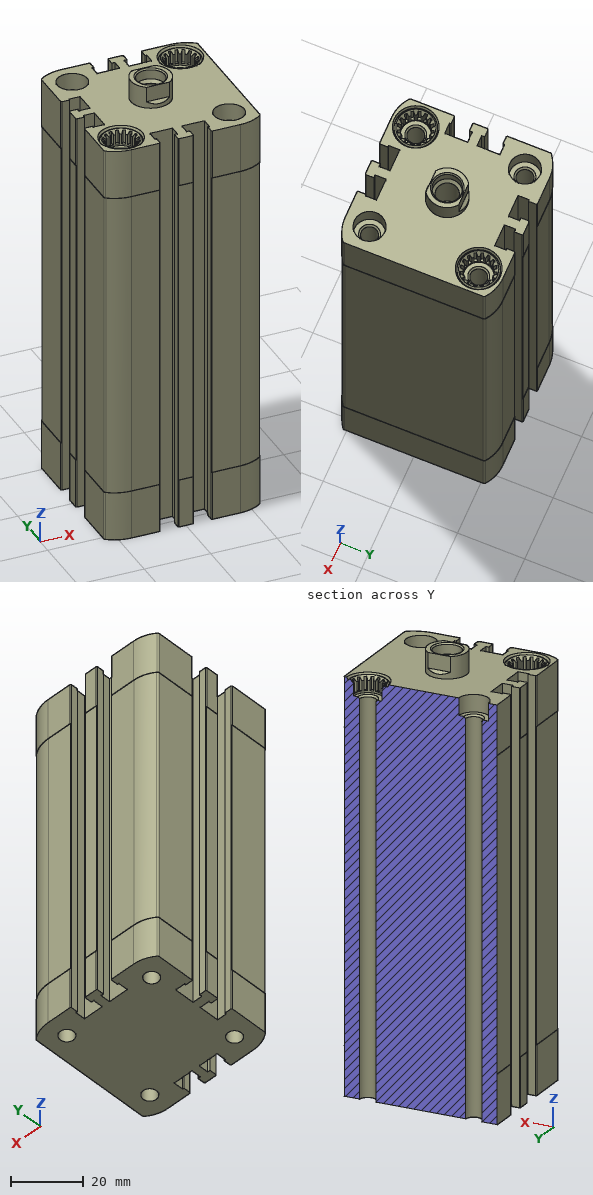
import cadquery as cq
import math

total_height = 130.6
body_height = 124.0
cap_width = 47.0
tube_width = 46.8
cap_height = 15.0

face_half_width = 16.4
corner_arc_radius = 11.4
corner_round_radius = 0.8

slot_depth = 5.9
slot_lip_depth = 2.6
rail_head_half_width = 2.3
rail_stem_half_width = 1.4
slot_mouth_outer = 7.7
slot_inner_outer = 8.2
lip_chamfer = 0.25
slot_face_angles = (0, 90, 180)

hole_offset = 16.25
through_diameter = 4.92
lead_in_diameter = 6.0
plain_bore_diameter = 9.0
corner_bore_depth = 5.2

rim_diameter = 12.8
rim_groove_outer_diameter = 12.0
rim_groove_inner_diameter = 11.9
crest_diameter = 11.0
crest_depth = 0.3
spline_root_diameter = 10.2
spline_tip_diameter = 8.5
spline_end_gap = 0.6
spline_count = 16
spline_flat_share = 0.35

rod_diameter = 12.0
rod_depth_in_body = 15.0
flat_width = 9.8
flat_height = 4.6
flat_shoulder_angle = 35.0
rod_mouth_diameter = 9.2
rod_counterbore_diameter = 8.4
rod_counterbore_depth = 3.3
rod_core_diameter = 6.65
rod_core_depth = 16.0
drill_tip_angle = 118.0


def drilling(profile, center, top):
    """Solid of revolution about a vertical axis from (radius, depth) points, deepest last."""
    first_depth = profile[0][1]
    last_depth = profile[-1][1]
    points = [(0, -first_depth)]
    points += [(radius, -depth) for radius, depth in profile]
    if profile[-1][0] > 0:
        points.append((0, -last_depth))
    turned = cq.Workplane("XZ").polyline(points).close().revolve(360, (0, 0, 0), (0, 1, 0))
    return turned.translate((center[0], center[1], top))


def outline_prism(width, bottom, height):
    """Square section whose corners are arcs tangent to the Y faces."""
    half = width / 2
    arc_center_y = half - corner_arc_radius

    def arc_y(x):
        return arc_center_y + math.sqrt(corner_arc_radius**2 - (x - face_half_width) ** 2)

    mid_x = (face_half_width + half) / 2
    end_y = arc_y(half)
    mid_y = arc_y(mid_x)
    prism = (
        cq.Workplane("XY", origin=(0, 0, bottom))
        .moveTo(-face_half_width, half)
        .lineTo(face_half_width, half)
        .threePointArc((mid_x, mid_y), (half, end_y))
        .lineTo(half, -end_y)
        .threePointArc((mid_x, -mid_y), (face_half_width, -half))
        .lineTo(-face_half_width, -half)
        .threePointArc((-mid_x, -mid_y), (-half, -end_y))
        .lineTo(-half, end_y)
        .threePointArc((-mid_x, mid_y), (-face_half_width, half))
        .close()
        .extrude(height)
    )
    corner_edges = prism.edges("|Z and (<X or >X)")
    return corner_edges.fillet(corner_round_radius)


def slot_pair():
    """Cutter for the two slots of the +Y face, chamfered at the mouth."""
    face = cap_width / 2
    lip = face - slot_lip_depth
    floor = face - slot_depth
    slot = (
        cq.Workplane("XY")
        .polyline([
            (rail_head_half_width, lip),
            (rail_stem_half_width, lip),
            (rail_stem_half_width, floor),
            (slot_inner_outer, floor),
            (slot_inner_outer, lip),
            (slot_mouth_outer, lip),
            (slot_mouth_outer, face - lip_chamfer),
            (slot_mouth_outer + lip_chamfer, face),
            (rail_head_half_width - lip_chamfer, face),
            (rail_head_half_width, face - lip_chamfer),
        ])
        .close()
        .extrude(body_height)
    )
    return slot.union(slot.mirror("YZ"))


lead_in_depth = (lead_in_diameter - through_diameter) / 2


def corner_passage(center):
    """Through hole with a conical lead-in at the floor of the corner bore."""
    profile = [
        (lead_in_diameter / 2, corner_bore_depth),
        (through_diameter / 2, corner_bore_depth + lead_in_depth),
        (through_diameter / 2, body_height),
    ]
    return drilling(profile, center, body_height)


def plain_bore(center):
    profile = [(plain_bore_diameter / 2, 0), (plain_bore_diameter / 2, corner_bore_depth)]
    return drilling(profile, center, body_height)


def splined_socket(center):
    """V-shaped rim groove around a raised crest, conical mouth and a star of spline grooves."""
    tip_radius = spline_tip_diameter / 2
    root_radius = spline_root_diameter / 2
    groove_depth = crest_depth + (rim_groove_inner_diameter - crest_diameter) / 2
    cone_depth = crest_depth + crest_diameter / 2 - tip_radius
    spline_end_depth = corner_bore_depth - spline_end_gap
    profile = [
        (rim_diameter / 2, 0),
        (rim_groove_outer_diameter / 2, groove_depth),
        (rim_groove_inner_diameter / 2, groove_depth),
        (crest_diameter / 2, crest_depth),
        (tip_radius, cone_depth),
        (tip_radius, corner_bore_depth),
    ]
    socket = drilling(profile, center, body_height)
    half_pitch = math.pi / spline_count
    half_flat = half_pitch * spline_flat_share
    star_points = []
    for i in range(2 * spline_count):
        radius = tip_radius if i % 2 == 0 else root_radius
        for angle in (i * half_pitch - half_flat, i * half_pitch + half_flat):
            star_points.append((radius * math.cos(angle), radius * math.sin(angle)))
    star_top = body_height - crest_depth - (crest_diameter / 2 - root_radius)
    star_bottom = body_height - spline_end_depth
    star = cq.Workplane("XY").polyline(star_points).close().extrude(star_top - star_bottom)
    return socket.union(star.translate((center[0], center[1], star_bottom)))


top_cap_bottom = body_height - cap_height
tube_height = body_height - 2 * cap_height
housing = outline_prism(cap_width, 0, cap_height)
housing = housing.union(outline_prism(tube_width, cap_height, tube_height))
housing = housing.union(outline_prism(cap_width, top_cap_bottom, cap_height))

for face_angle in slot_face_angles:
    housing = housing.cut(slot_pair().rotate((0, 0, 0), (0, 0, 1), face_angle))

for side_x in (-1, 1):
    for side_y in (-1, 1):
        hole_center = (side_x * hole_offset, side_y * hole_offset)
        housing = housing.cut(corner_passage(hole_center))
        corner_bore = splined_socket if side_x == side_y else plain_bore
        housing = housing.cut(corner_bore(hole_center))

rod_bottom = body_height - rod_depth_in_body
rod_length = total_height - rod_bottom
rod_blank = cq.Workplane("XY", origin=(0, 0, rod_bottom)).circle(rod_diameter / 2).extrude(rod_length)
housing = housing.cut(rod_blank)


def wrench_flat():
    """Cutter for the -Y flat; its lower end is a sloping shoulder."""
    inner = flat_width / 2
    outer = rod_diameter / 2
    shoulder = total_height - flat_height
    shoulder_drop = (outer - inner) * math.tan(math.radians(flat_shoulder_angle))
    return (
        cq.Workplane("YZ")
        .polyline([
            (-inner, total_height),
            (-inner, shoulder),
            (-outer, shoulder - shoulder_drop),
            (-outer, total_height),
        ])
        .close()
        .extrude(outer, both=True)
    )


def rod_bore():
    """Threaded-hole core with a countersunk counterbore and a drill tip."""
    mouth_depth = (rod_mouth_diameter - rod_counterbore_diameter) / 2
    step_depth = (rod_counterbore_diameter - rod_core_diameter) / 2
    tip_depth = rod_core_diameter / 2 / math.tan(math.radians(drill_tip_angle / 2))
    profile = [
        (rod_mouth_diameter / 2, 0),
        (rod_counterbore_diameter / 2, mouth_depth),
        (rod_counterbore_diameter / 2, rod_counterbore_depth),
        (rod_core_diameter / 2, rod_counterbore_depth + step_depth),
        (rod_core_diameter / 2, rod_core_depth),
        (0, rod_core_depth + tip_depth),
    ]
    return drilling(profile, (0, 0), total_height)


rod = rod_blank.cut(wrench_flat()).cut(wrench_flat().mirror("XZ")).cut(rod_bore())

result = cq.Compound.makeCompound([housing.val(), rod.val()])